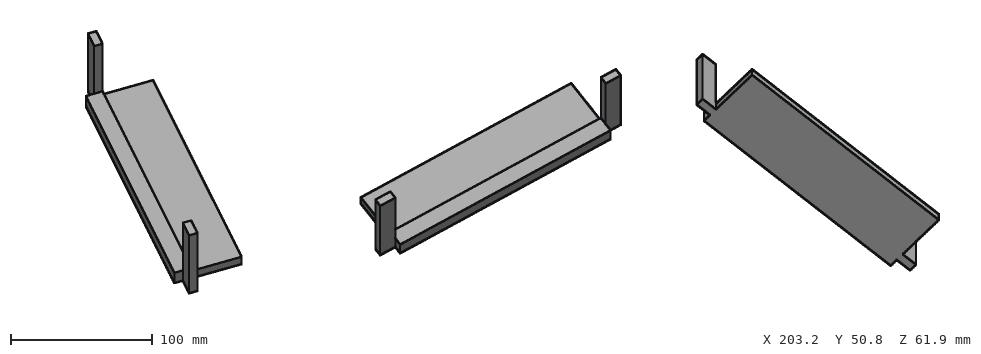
import cadquery as cq

overall_length = 203.2
overall_depth = 50.8
overall_height = 61.91

post_width = 12.7
post_depth = 6.35
plate_thickness = 7.94
bar_depth = 12.7
bar_height = 11.11

shelf_length = overall_length - 2 * post_width
plate_depth = overall_depth - bar_depth
post_front = bar_depth - post_depth


def corner_box(length, depth, height, x, y):
    """Box standing on the base plane, with its low X, low Y corner at (x, y)."""
    return cq.Workplane("XY").box(length, depth, height, centered=False).translate((x, y, 0))


def make_shelf():
    """Plate and front bar, running between the two posts."""
    bar = corner_box(shelf_length, bar_depth, bar_height, -shelf_length / 2, 0)
    plate = corner_box(shelf_length, plate_depth, plate_thickness, -shelf_length / 2, bar_depth)
    return bar.union(plate)


def make_post(x):
    """Upright post against one end of the front bar, flush with the bar's back face."""
    return corner_box(post_width, post_depth, overall_height, x, post_front)


result = make_shelf()
for post_x in (-overall_length / 2, shelf_length / 2):
    result = result.union(make_post(post_x))